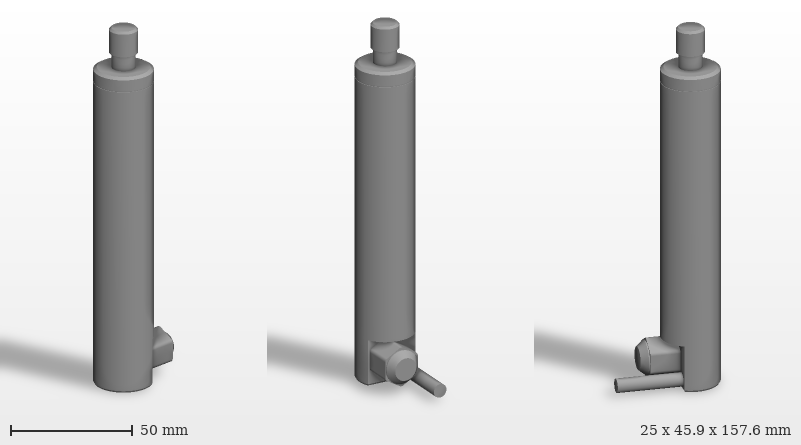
import cadquery as cq
import math

overall_height = 157.6
body_diameter = 25.0
body_radius = body_diameter / 2
body_top = 140.0
foot_chamfer = 0.5
foot_chamfer_height = 0.8
cap_face_diameter = 22.0
cap_chamfer_height = 1.0

cap_height = 5.8
groove_width = 0.5
groove_depth = 0.3

rod_diameter = 10.0
head_diameter = 12.0
head_length = 11.0
head_chamfer = 1.0

flat_y = 5.5
flat_height = 20.3

hex_across_flats = 15.5
hex_center_x = 2.7
hex_center_z = 11.3
hex_end_y = 18.3
hex_edge_radius = 1.5
collar_diameter = 14.8
collar_length = 0.5
tip_diameter = 10.0
tip_end_y = 21.7

cable_diameter = 6.0
cable_center_x = -7.0
cable_center_z = 4.1
cable_end_y = 33.4


def plane_facing_y(x, y, z):
    """Work plane at the given point whose normal is +Y and whose local Y is +Z."""
    return cq.Workplane(cq.Plane(origin=(x, y, z), xDir=(-1, 0, 0), normal=(0, 1, 0)))


def make_housing():
    """Turned housing with chamfered ends, cap groove, rod and head."""
    groove_top = body_top - cap_height
    groove_bottom = groove_top - groove_width
    groove_radius = body_radius - groove_depth
    rod_radius = rod_diameter / 2
    head_radius = head_diameter / 2
    head_bottom = overall_height - head_length
    half_profile = [
        (0, 0),
        (body_radius - foot_chamfer, 0),
        (body_radius, foot_chamfer_height),
        (body_radius, groove_bottom),
        (groove_radius, groove_bottom),
        (groove_radius, groove_top),
        (body_radius, groove_top),
        (body_radius, body_top - cap_chamfer_height),
        (cap_face_diameter / 2, body_top),
        (rod_radius, body_top),
        (rod_radius, head_bottom),
        (head_radius, head_bottom),
        (head_radius, overall_height - head_chamfer),
        (head_radius - head_chamfer, overall_height),
        (0, overall_height),
    ]
    return cq.Workplane("XZ").polyline(half_profile).close().revolve(360, (0, 0), (0, 1))


def cut_flat(housing):
    """Remove the +Y side of the foot, then bevel the lower edge of the flat."""
    notch = cq.Workplane("XY").box(
        body_diameter, body_diameter, flat_height, centered=(True, False, False)
    ).translate((0, flat_y, 0))
    bevel = (
        cq.Workplane("YZ")
        .polyline([(flat_y - foot_chamfer, 0), (flat_y, 0), (flat_y, foot_chamfer_height)])
        .close()
        .extrude(body_radius, both=True)
    )
    return housing.cut(notch).cut(bevel)


def make_connector():
    """Hexagonal block with rounded edges, a short round collar and a conical tip."""
    hex_across_corners = hex_across_flats / math.cos(math.radians(30))
    hex_block = (
        plane_facing_y(hex_center_x, flat_y, hex_center_z)
        .transformed(rotate=(0, 0, 90))
        .polygon(6, hex_across_corners)
        .extrude(hex_end_y - flat_y)
        .edges("|Y")
        .fillet(hex_edge_radius)
    )
    collar = (
        plane_facing_y(hex_center_x, hex_end_y, hex_center_z)
        .circle(collar_diameter / 2)
        .extrude(collar_length)
    )
    cone_start_y = hex_end_y + collar_length
    tip = (
        plane_facing_y(hex_center_x, cone_start_y, hex_center_z)
        .circle(collar_diameter / 2)
        .workplane(offset=tip_end_y - cone_start_y)
        .circle(tip_diameter / 2)
        .loft(ruled=True)
    )
    return hex_block.union(collar).union(tip)


def make_cable():
    """Straight round cable leaving the flat."""
    return (
        plane_facing_y(cable_center_x, flat_y, cable_center_z)
        .circle(cable_diameter / 2)
        .extrude(cable_end_y - flat_y)
    )


result = cut_flat(make_housing()).union(make_connector()).union(make_cable())